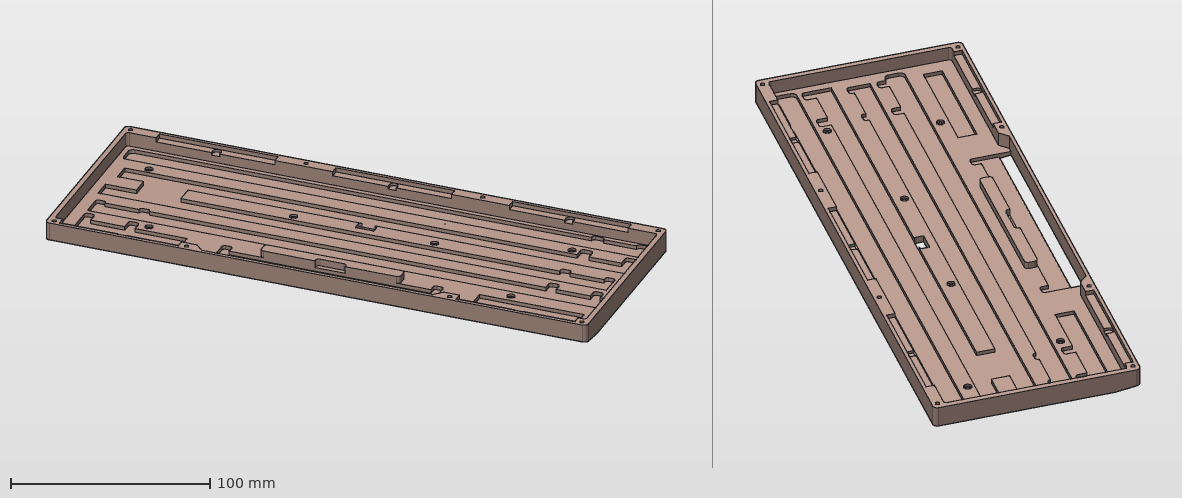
import cadquery as cq
LENGTH = 292.8
WIDTH = 109.2
HEIGHT = 11.5
CORNER_RADIUS = 2.3
FLOOR_Z = 3.8

SLOPE_START_Y = -41.0
SLOPE_RISE = 1.8

CAVITY_LENGTH = 287.0
CAVITY_RADIUS = 1.5
RIM_INNER_Y = 48.3
LIP_INNER_Y = 52.7

CLIP_LENGTH = 64.0
CLIP_DEPTH = 2.3
CLIP_SLOT_WIDTH = 4.5
CLIP_SLOT_DEPTH = 3.8
BACK_CLIP_X = (-95.5, 0.0, 95.5)
FRONT_CLIP_X = (-107.1, 107.1)

SCREW_DIAMETER = 2.1
SCREW_HEAD_DIAMETER = 4.5
SCREW_HEAD_DEPTH = 3.5
RIM_SCREW_Y = 51.5
BACK_SCREW_X = (-142.5, -47.7, 47.7, 142.5)
FRONT_SCREW_X = (-142.5, -71.0, 71.0, 142.5)

FLOOR_HEAD_DIAMETER = 4.0
FLOOR_HEAD_DEPTH = 1.2
FLOOR_SCREWS = (
    (-123.8, 29.5), (104.8, 29.5),
    (-38.0, 10.5), (38.0, 10.5),
    (-101.3, -26.5), (94.3, -26.5),
)

POCKET_DEPTH = 2.0
POCKET_Z = FLOOR_Z - POCKET_DEPTH
ROW_END_RADIUS = 2.5
TAB_RADIUS = 1.5

LEFT_TABS = ((-136.5, -131.2), (-112.7, -107.1))
INNER_RIGHT_TABS = ((107.1, 112.7), (131.2, 136.5))
OUTER_RIGHT_TABS = ((109.0, 115.3), (133.0, 139.0))

NUMBER_ROW = (-140.5, 140.5, 34.8, 45.7)
UPPER_ROW = (-135.5, 139.0, 16.5, 26.0)
HOME_ROW = (-138.2, 136.5, -3.2, 6.7)
ROW_LINK = (-121.5, -97.5, HOME_ROW[3], UPPER_ROW[2])
LOWER_ROW = (-136.5, 140.5, -22.2, -11.7)
BOTTOM_ROW_LEFT = (-136.5, -79.0, -41.0, -31.0)
BOTTOM_ROW_RIGHT = (79.0, 135.5, -41.0, -31.0)

NUMBER_TAB_Y = 47.5
UPPER_TAB_Y = 32.2
HOME_TAB_Y = 9.5
LOWER_LEFT_TAB_Y = -10.0
LOWER_RIGHT_TAB_Y = -6.5
BOTTOM_TAB_Y = -25.0

FRONT_POCKET_HALF = 59.7
FRONT_POCKET_Y = -35.5
SLOT_BACK_Y = -46.5
EAR_WIDTH = 5.3
EAR_Y = -30.7
RIM_GAP_HALF = 66.7

BAR_LENGTH = 75.5
BAR_BACK_Y = -28.7
BAR_TOP_Z = 7.5
BAR_RADIUS = 1.8
BAR_NOTCH_LENGTH = 16.5
BAR_NOTCH_WIDTH = 2.5
BAR_NOTCH_RADIUS = 1.8

ACCESS_HALF = 5.0
ACCESS_FRONT_Y = 11.0
ACCESS_BACK_Y = UPPER_ROW[2]
ACCESS_RADIUS = 1.5


def block(x_min, x_max, y_min, y_max, z_min, z_max):
    """Box given by its limits along each axis."""
    size = (x_max - x_min, y_max - y_min, z_max - z_min)
    return cq.Workplane("XY").box(*size, centered=False).translate((x_min, y_min, z_min))


def cylinders(points, diameter, z_min, z_max):
    """Upright cylinders of one diameter at the given points."""
    return (
        cq.Workplane("XY", origin=(0, 0, z_min))
        .pushPoints(points)
        .circle(diameter / 2)
        .extrude(z_max - z_min)
    )


def tray():
    """Shallow box with a sloped front underside and an open cavity."""
    body = cq.Workplane("XY").box(LENGTH, WIDTH, HEIGHT, centered=(True, True, False))
    body = body.edges("|Z").fillet(CORNER_RADIUS)
    front_y = -WIDTH / 2
    slope = (
        cq.Workplane("YZ")
        .polyline([(SLOPE_START_Y, 0), (front_y, SLOPE_RISE), (front_y, 0)])
        .close()
        .extrude(LENGTH / 2, both=True)
    )
    half = CAVITY_LENGTH / 2
    cavity = block(-half, half, -RIM_INNER_Y, RIM_INNER_Y, FLOOR_Z, HEIGHT)
    cavity = cavity.edges("|Z").fillet(CAVITY_RADIUS)
    return body.cut(slope).cut(cavity).cut(rim_gap())


def rim_gap():
    """Gap in the front rim with 45 degree ends, leaving only the thin front wall."""
    narrow_half = RIM_GAP_HALF - (LIP_INNER_Y - RIM_INNER_Y)
    return (
        cq.Workplane("XY", origin=(0, 0, FLOOR_Z))
        .polyline([
            (-RIM_GAP_HALF, -RIM_INNER_Y), (RIM_GAP_HALF, -RIM_INNER_Y),
            (narrow_half, -LIP_INNER_Y), (-narrow_half, -LIP_INNER_Y),
        ])
        .close()
        .extrude(HEIGHT - FLOOR_Z)
    )


def back_clip(x):
    """Clip recess cutter for the back rim, open toward the cavity."""
    half = CLIP_LENGTH / 2
    radius = CLIP_SLOT_WIDTH / 2
    slot_z = HEIGHT - CLIP_SLOT_DEPTH
    slot_end_y = LIP_INNER_Y - radius
    recess = block(x - half, x + half, RIM_INNER_Y, LIP_INNER_Y, HEIGHT - CLIP_DEPTH, HEIGHT)
    slot = block(x - radius, x + radius, RIM_INNER_Y, slot_end_y, slot_z, HEIGHT)
    slot_end = cylinders([(x, slot_end_y)], CLIP_SLOT_WIDTH, slot_z, HEIGHT)
    return recess.union(slot).union(slot_end)


def front_clip(x):
    """The same recess mirrored onto the front rim."""
    return back_clip(x).mirror("XZ")


def pocket(x_min, x_max, y_min, y_max):
    """Cutter that sinks a rectangle into the floor."""
    return block(x_min, x_max, y_min, y_max, POCKET_Z, FLOOR_Z)


def add_tabs(row, limits, tabs, tab_y):
    """Extend a pocket back to tab_y over each tab, with rounded tab corners."""
    middle_y = (limits[2] + limits[3]) / 2
    for x_min, x_max in tabs:
        tab = pocket(x_min, x_max, middle_y, tab_y)
        row = row.union(tab.edges("|Z and >Y").fillet(TAB_RADIUS))
    return row


def number_row():
    """Back row: rounded ends, one tab, and a raised right end."""
    tab, end_tab = OUTER_RIGHT_TABS
    row = pocket(*NUMBER_ROW).edges("|Z").fillet(ROW_END_RADIUS)
    row = add_tabs(row, NUMBER_ROW, [tab], NUMBER_TAB_Y)
    middle_y = (NUMBER_ROW[2] + NUMBER_ROW[3]) / 2
    raised_end = pocket(end_tab[0], NUMBER_ROW[1], middle_y, NUMBER_TAB_Y)
    return row.union(raised_end.edges("|Z and >Y").fillet(ROW_END_RADIUS))


def upper_and_home_rows():
    """Two rows joined by a link near their left ends."""
    upper = add_tabs(pocket(*UPPER_ROW), UPPER_ROW, OUTER_RIGHT_TABS, UPPER_TAB_Y)
    home = add_tabs(pocket(*HOME_ROW), HOME_ROW, INNER_RIGHT_TABS, HOME_TAB_Y)
    return upper.union(home).union(pocket(*ROW_LINK))


def lower_row():
    row = pocket(*LOWER_ROW).edges("|Z and >X").fillet(ROW_END_RADIUS)
    row = row.edges("|Z and <X and <Y").fillet(TAB_RADIUS)
    row = add_tabs(row, LOWER_ROW, LEFT_TABS, LOWER_LEFT_TAB_Y)
    return add_tabs(row, LOWER_ROW, INNER_RIGHT_TABS, LOWER_RIGHT_TAB_Y)


def bottom_row():
    left = add_tabs(pocket(*BOTTOM_ROW_LEFT), BOTTOM_ROW_LEFT, LEFT_TABS, BOTTOM_TAB_Y)
    return left.union(pocket(*BOTTOM_ROW_RIGHT))


def front_pocket():
    """Pocket with an ear at each end and a slot through the floor along its front."""
    half = FRONT_POCKET_HALF
    limits = (-half, half, -LIP_INNER_Y, FRONT_POCKET_Y)
    ears = ((-half, -half + EAR_WIDTH), (half - EAR_WIDTH, half))
    slot = block(-half, half, -LIP_INNER_Y, SLOT_BACK_Y, 0, FLOOR_Z)
    return add_tabs(pocket(*limits), limits, ears, EAR_Y).union(slot)


def support_bar():
    """Rounded bar on the floor, notched in the middle of its front face."""
    half = BAR_LENGTH / 2
    bar = block(-half, half, FRONT_POCKET_Y, BAR_BACK_Y, FLOOR_Z, BAR_TOP_Z)
    bar = bar.edges("|Z").fillet(BAR_RADIUS)
    notch_half = BAR_NOTCH_LENGTH / 2
    notch_y = FRONT_POCKET_Y + BAR_NOTCH_WIDTH
    notch = block(-notch_half, notch_half, FRONT_POCKET_Y, notch_y, FLOOR_Z, BAR_TOP_Z)
    return bar.cut(notch.edges("|Z and >Y").fillet(BAR_NOTCH_RADIUS))


def access_hole():
    hole = block(-ACCESS_HALF, ACCESS_HALF, ACCESS_FRONT_Y, ACCESS_BACK_Y, 0, FLOOR_Z)
    return hole.edges("|Z and >Y").fillet(ACCESS_RADIUS)


def rim_screws(x_places, y, underside_z):
    """Row of screw holes with head counterbores measured from the underside."""
    points = [(x, y) for x in x_places]
    holes = cylinders(points, SCREW_DIAMETER, 0, HEIGHT)
    return holes.union(cylinders(points, SCREW_HEAD_DIAMETER, 0, underside_z + SCREW_HEAD_DEPTH))


def floor_screws():
    holes = cylinders(FLOOR_SCREWS, SCREW_DIAMETER, 0, FLOOR_Z)
    return holes.union(cylinders(FLOOR_SCREWS, FLOOR_HEAD_DIAMETER, FLOOR_Z - FLOOR_HEAD_DEPTH, FLOOR_Z))


cutters = [number_row(), upper_and_home_rows(), lower_row(), bottom_row(), front_pocket()]
cutters += [back_clip(x) for x in BACK_CLIP_X]
cutters += [front_clip(x) for x in FRONT_CLIP_X]
cutters += [
    rim_screws(BACK_SCREW_X, RIM_SCREW_Y, 0),
    rim_screws(FRONT_SCREW_X, -RIM_SCREW_Y, SLOPE_RISE),
    floor_screws(),
    access_hole(),
]

result = tray().union(support_bar())
for cutter in cutters:
    result = result.cut(cutter)